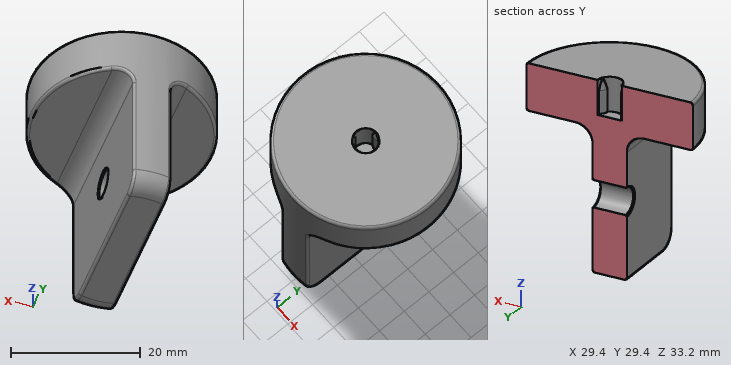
import cadquery as cq
import math

total_height = 33.18
disc_diameter = 29.4
disc_height = 8.23
plate_thickness = 6.1
disc_radius = disc_diameter / 2
disc_underside = total_height - disc_height

root_radius = 3.0
corner_radius = 3.0
edge_round = 0.5

cross_hole_diameter = 4.6
cross_hole_height = 13.5
cross_hole_chamfer = 0.2

socket_diameter = 4.18
socket_depth = 5.97
rib_count = 3
rib_radius = 1.25
rib_projection = 0.35
rib_tip_depth = 0.33
rib_taper_length = 1.65
first_rib_angle = 90.0


def t_profile():
    """T-shaped outline in XZ: a flat bar standing on a plate, joined by round roots."""
    half_plate = plate_thickness / 2
    root_bottom = disc_underside - root_radius
    root_outer = half_plate + root_radius
    middle_offset = root_radius * math.sqrt(0.5)
    middle_x = root_outer - middle_offset
    middle_z = root_bottom + middle_offset
    return (
        cq.Workplane("XZ")
        .moveTo(-half_plate, 0)
        .lineTo(half_plate, 0)
        .lineTo(half_plate, root_bottom)
        .threePointArc((middle_x, middle_z), (root_outer, disc_underside))
        .lineTo(disc_radius, disc_underside)
        .lineTo(disc_radius, total_height)
        .lineTo(-disc_radius, total_height)
        .lineTo(-disc_radius, disc_underside)
        .lineTo(-root_outer, disc_underside)
        .threePointArc((-middle_x, middle_z), (-half_plate, root_bottom))
        .close()
    )


def body():
    """The T section trimmed to a cylinder whose bottom edge is rounded."""
    section = t_profile().extrude(disc_radius, both=True)
    cylinder = cq.Workplane("XY").circle(disc_radius).extrude(total_height)
    return section.intersect(cylinder.faces("<Z").edges().fillet(corner_radius))


def round_outer_edges(solid):
    """Round the top rim and the outline of both plate faces up to the disc underside.

    The plate outline and lower rim are tangent chains that start at the plate's bottom edges.
    """
    rounded = solid.faces(">Z").edges().fillet(edge_round)
    return rounded.faces("<Z").edges("|Y").fillet(edge_round)


def cross_hole():
    """Through hole along X with a chamfer at each plate face."""
    half_plate = plate_thickness / 2
    hole_radius = cross_hole_diameter / 2
    mouth_radius = hole_radius + cross_hole_chamfer
    return (
        cq.Workplane("XY")
        .moveTo(-half_plate, 0)
        .lineTo(-half_plate, mouth_radius)
        .lineTo(-half_plate + cross_hole_chamfer, hole_radius)
        .lineTo(half_plate - cross_hole_chamfer, hole_radius)
        .lineTo(half_plate, mouth_radius)
        .lineTo(half_plate, 0)
        .close()
        .revolve(360, (0, 0, 0), (1, 0, 0))
        .translate((0, 0, cross_hole_height))
    )


def socket():
    """Blind hole from the top, less the part-round ribs that stand on its wall."""
    hole = (
        cq.Workplane("XY")
        .workplane(offset=total_height - socket_depth)
        .circle(socket_diameter / 2)
        .extrude(socket_depth)
    )
    tip_height = total_height - rib_tip_depth
    taper_bottom = tip_height - rib_taper_length
    rib = (
        cq.Workplane("XZ")
        .moveTo(0, total_height - socket_depth)
        .lineTo(rib_radius, total_height - socket_depth)
        .lineTo(rib_radius, taper_bottom)
        .lineTo(rib_radius - rib_projection, tip_height)
        .lineTo(0, tip_height)
        .close()
        .revolve(360, (0, 0, 0), (0, 1, 0))
        .translate((socket_diameter / 2 - rib_projection + rib_radius, 0, 0))
    )
    for index in range(rib_count):
        angle = first_rib_angle + index * 360 / rib_count
        hole = hole.cut(rib.rotate((0, 0, 0), (0, 0, 1), angle))
    return hole


result = round_outer_edges(body()).cut(cross_hole()).cut(socket())